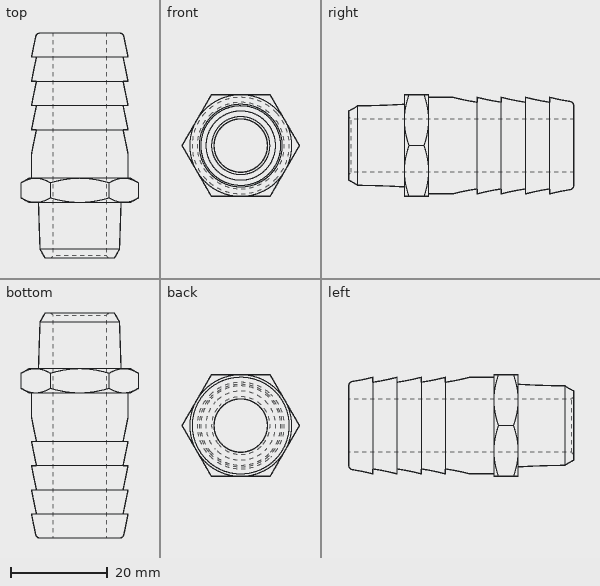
import cadquery as cq
import math

TOTAL_LENGTH = 46.5
START_Y = -TOTAL_LENGTH / 2
END_Y = TOTAL_LENGTH / 2

BARB_COUNT = 5
SECTION_LENGTH = 5.0
BARB_CREST_RADIUS = 10.0
BARB_ROOT_RADIUS = 8.97
TIP_ROUND_RADIUS = 0.98

HEX_ACROSS_FLATS = 21.0
HEX_ACROSS_CORNERS = HEX_ACROSS_FLATS / math.cos(math.pi / 6)
HEX_CHAMFER_ANGLE = math.radians(30)

SPIGOT_TIP_RADIUS = 7.15
SPIGOT_SMALL_RADIUS = 8.25
SPIGOT_LARGE_RADIUS = 8.55
SPIGOT_CHAMFER_LENGTH = 1.85

BORE_RADIUS = 5.5
BORE_MOUTH_RADIUS = 6.0
BORE_CHAMFER_LENGTH = BORE_MOUTH_RADIUS - BORE_RADIUS

COLLAR_END_Y = END_Y - BARB_COUNT * SECTION_LENGTH
HEX_END_Y = COLLAR_END_Y - SECTION_LENGTH
HEX_START_Y = HEX_END_Y - SECTION_LENGTH


def revolve_about_y(points):
    """Turn a closed outline of (radius, y) points about the Y axis."""
    outline = cq.Workplane("XY").polyline(points).close()
    return outline.revolve(360, (0, 0, 0), (0, 1, 0))


def make_spigot():
    return revolve_about_y([
        (0, START_Y),
        (SPIGOT_TIP_RADIUS, START_Y),
        (SPIGOT_SMALL_RADIUS, START_Y + SPIGOT_CHAMFER_LENGTH),
        (SPIGOT_LARGE_RADIUS, HEX_START_Y),
        (0, HEX_START_Y),
    ])


def make_hexagon():
    """Hexagon with corners along X, its corners turned off at both ends."""
    prism = (
        cq.Workplane("XZ", origin=(0, HEX_END_Y, 0))
        .polygon(6, HEX_ACROSS_CORNERS)
        .extrude(SECTION_LENGTH)
    )
    flat_radius = HEX_ACROSS_FLATS / 2
    corner_radius = HEX_ACROSS_CORNERS / 2
    chamfer_length = (corner_radius - flat_radius) * math.tan(HEX_CHAMFER_ANGLE)
    envelope = revolve_about_y([
        (0, HEX_START_Y),
        (flat_radius, HEX_START_Y),
        (corner_radius, HEX_START_Y + chamfer_length),
        (corner_radius, HEX_END_Y - chamfer_length),
        (flat_radius, HEX_END_Y),
        (0, HEX_END_Y),
    ])
    return prism.intersect(envelope)


def make_barbed_tail():
    """Plain collar followed by barbs that narrow toward the free end."""
    points = [(0, HEX_END_Y), (BARB_CREST_RADIUS, HEX_END_Y)]
    for index in range(BARB_COUNT):
        crest_y = COLLAR_END_Y + index * SECTION_LENGTH
        points.append((BARB_CREST_RADIUS, crest_y))
        points.append((BARB_ROOT_RADIUS, crest_y + SECTION_LENGTH))
    points.append((0, END_Y))
    return revolve_about_y(points).faces(">Y").edges().fillet(TIP_ROUND_RADIUS)


def make_bore():
    """Through bore with a chamfered mouth at the spigot end."""
    return revolve_about_y([
        (0, START_Y),
        (BORE_MOUTH_RADIUS, START_Y),
        (BORE_RADIUS, START_Y + BORE_CHAMFER_LENGTH),
        (BORE_RADIUS, END_Y),
        (0, END_Y),
    ])


body = make_spigot().union(make_hexagon()).union(make_barbed_tail())
result = body.cut(make_bore())